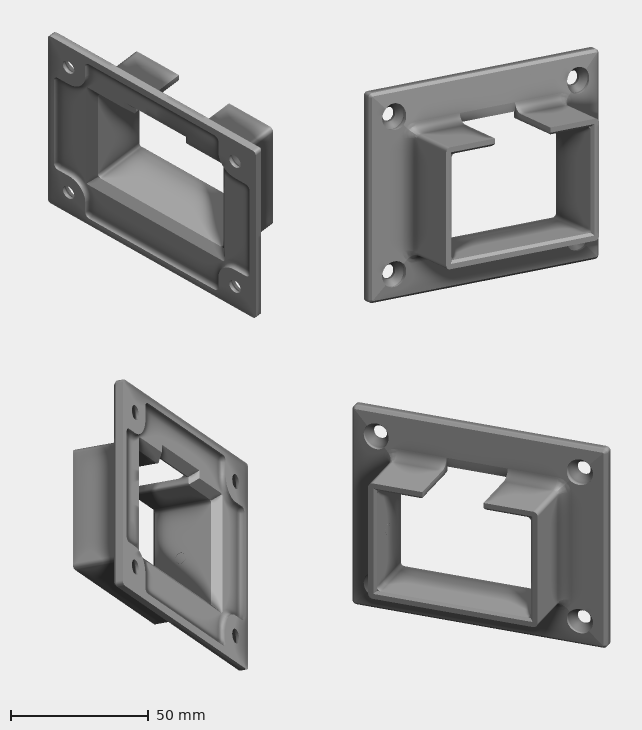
import cadquery as cq
import math

PLATE_WIDTH = 100.0
PLATE_HEIGHT = 80.0
PLATE_CORNER_R = 1.5
RIM_THICKNESS = 3.0
RIM_CHAMFER = 1.0
BACK_SLOPE_DEG = 7.5
HOLE_SPACING_X = 80.0
HOLE_SPACING_Z = 60.0
HOLE_D = 5.5
SINK_D = 10.0
SINK_START = 1.25

DEPTH = 29.0
OPENING_WIDTH = 60.5
OPENING_HEIGHT = 40.5
WALL = 3.0
OPENING_CORNER_R = 1.5
COLLAR_CORNER_R = 1.75
COLLAR_FILLET = 4.0
COLLAR_WIDTH = OPENING_WIDTH + 2 * WALL
COLLAR_HEIGHT = OPENING_HEIGHT + 2 * WALL
INNER_REAR_CHAMFER = 1.0

SLOT_WIDTH = 24.0
SLOT_EDGE_R = 1.0

RECESS_WIDTH = 94.0
RECESS_HEIGHT = 74.0
RECESS_DEPTH = 2.0
RECESS_FILLET = 2.0
PAD_R = 8.0
FLARE = 3.0

PIN_D = 4.0
PIN_LENGTH = 2.0
POCKET_D = 4.2

SLOPE_START = RIM_THICKNESS + RIM_CHAMFER
SLOPE = math.tan(math.radians(BACK_SLOPE_DEG))
SLOPE_RUN = (PLATE_HEIGHT - COLLAR_HEIGHT) / 2 - RIM_CHAMFER
SLOPE_END = SLOPE_START + SLOPE_RUN * SLOPE
FILLET_REACH = COLLAR_FILLET * math.tan(math.radians((90 - BACK_SLOPE_DEG) / 2))
FILLET_START = SLOPE_END - FILLET_REACH * math.sin(math.radians(BACK_SLOPE_DEG))
PIN_Y = (SLOPE_END + DEPTH) / 2

MARGIN = 0.1


def section(y):
    """Sketch plane parallel to the front face, Z up, extruding towards +Y."""
    return cq.Workplane(cq.Plane(origin=(0, y, 0), xDir=(-1, 0, 0), normal=(0, 1, 0)))


def block(width, height, y_start, y_end):
    return section(y_start).rect(width, height).extrude(y_end - y_start)


def funnel(width, height):
    """45 degree funnel, given by its size at the small end, from the recess floor inwards."""
    return (
        section(RECESS_DEPTH)
        .rect(width + 2 * FLARE, height + 2 * FLARE)
        .workplane(offset=FLARE)
        .rect(width, height)
        .loft()
    )


def make_plate():
    """Rim with a chamfered back edge, carrying a shallow pyramid that reaches into the collar."""
    rim = block(PLATE_WIDTH, PLATE_HEIGHT, 0, SLOPE_START)
    rim = rim.edges("|Y").fillet(PLATE_CORNER_R)
    rim = rim.faces(">Y").chamfer(RIM_CHAMFER)
    base_width = PLATE_WIDTH - 2 * RIM_CHAMFER
    base_height = PLATE_HEIGHT - 2 * RIM_CHAMFER
    pyramid_height = SLOPE_END - SLOPE_START + WALL * SLOPE
    pyramid = section(SLOPE_START).rect(base_width, base_height)
    pyramid = pyramid.extrude(pyramid_height, taper=90 - BACK_SLOPE_DEG)
    corner_trim = block(base_width, base_height, SLOPE_START, DEPTH)
    corner_trim = corner_trim.edges("|Y").fillet(PLATE_CORNER_R - RIM_CHAMFER)
    return rim.union(pyramid.intersect(corner_trim))


def make_outer():
    """Plate and collar, joined by a fillet around the foot of the collar."""
    collar = block(COLLAR_WIDTH, COLLAR_HEIGHT, RECESS_DEPTH, DEPTH)
    collar = collar.edges("|Y").fillet(COLLAR_CORNER_R)
    body = make_plate().union(collar)
    foot = cq.selectors.BoxSelector(
        (-COLLAR_WIDTH / 2 - MARGIN, SLOPE_END - MARGIN, -COLLAR_HEIGHT / 2 - MARGIN),
        (COLLAR_WIDTH / 2 + MARGIN, SLOPE_END + MARGIN, COLLAR_HEIGHT / 2 + MARGIN),
    )
    return body.edges(foot).fillet(COLLAR_FILLET)


def make_recess():
    """Cross-shaped cutter with rounded pads and a filleted floor, standing proud of the front face."""
    arm_width = HOLE_SPACING_X - 2 * PAD_R
    arm_height = HOLE_SPACING_Z - 2 * PAD_R
    across = block(RECESS_WIDTH, arm_height, -MARGIN, RECESS_DEPTH)
    upright = block(arm_width, RECESS_HEIGHT, -MARGIN, RECESS_DEPTH)
    cross = across.union(upright)
    pad_corners = cq.selectors.BoxSelector(
        (-arm_width / 2 - MARGIN, -DEPTH, -arm_height / 2 - MARGIN),
        (arm_width / 2 + MARGIN, DEPTH, arm_height / 2 + MARGIN),
    )
    cross = cross.edges("|Y").edges(pad_corners).fillet(PAD_R)
    cross = cross.edges("|Y").edges("<X or >X or <Z or >Z").fillet(RECESS_FILLET)
    return cross.faces(">Y").edges().fillet(RECESS_FILLET)


def upper_half(shape):
    """The part of a cutter above z = 0."""
    lower_half = block(PLATE_WIDTH, PLATE_HEIGHT, -MARGIN, DEPTH)
    return shape.cut(lower_half.translate((0, 0, -PLATE_HEIGHT / 2)))


def make_passage():
    """Opening with rounded corners, joined to the slot that cuts through the top wall."""
    opening = block(OPENING_WIDTH, OPENING_HEIGHT, 0, DEPTH).edges("|Y").fillet(OPENING_CORNER_R)
    slot = upper_half(block(SLOT_WIDTH, COLLAR_HEIGHT, 0, DEPTH))
    passage = opening.union(slot)
    slot_edges = cq.selectors.BoxSelector(
        (-SLOT_WIDTH / 2 - MARGIN, 0, OPENING_HEIGHT / 2 - MARGIN),
        (SLOT_WIDTH / 2 + MARGIN, DEPTH, OPENING_HEIGHT / 2 + MARGIN),
    )
    passage = passage.edges("|Y").edges(slot_edges).fillet(SLOT_EDGE_R)
    fillet_gap = upper_half(block(SLOT_WIDTH, PLATE_HEIGHT, FILLET_START, DEPTH))
    above_collar = block(SLOT_WIDTH, COLLAR_HEIGHT, FILLET_START, DEPTH)
    return passage.union(fillet_gap.cut(above_collar))


def make_funnels():
    """Front funnels of the opening and of the slot."""
    slot_funnel = upper_half(funnel(SLOT_WIDTH, COLLAR_HEIGHT))
    return funnel(OPENING_WIDTH, OPENING_HEIGHT).union(slot_funnel)


def make_rear_chamfer():
    """Chamfer cutter for the inner rear edge of the collar."""
    return (
        section(DEPTH - INNER_REAR_CHAMFER)
        .rect(OPENING_WIDTH, OPENING_HEIGHT)
        .workplane(offset=INNER_REAR_CHAMFER)
        .rect(OPENING_WIDTH + 2 * INNER_REAR_CHAMFER, OPENING_HEIGHT + 2 * INNER_REAR_CHAMFER)
        .loft()
    )


def make_holes():
    """Screw holes with a countersink that runs out of the sloped back as a cylinder."""
    hole_r = HOLE_D / 2
    sink_r = SINK_D / 2
    sink_end = SINK_START + sink_r - hole_r
    profile = cq.Workplane("XY").polyline(
        [(0, 0), (hole_r, 0), (hole_r, SINK_START), (sink_r, sink_end), (sink_r, DEPTH), (0, DEPTH)]
    )
    hole = profile.close().revolve(360, (0, 0), (0, 1)).val()
    holes = cq.Workplane()
    for x in (-HOLE_SPACING_X / 2, HOLE_SPACING_X / 2):
        for z in (-HOLE_SPACING_Z / 2, HOLE_SPACING_Z / 2):
            holes = holes.add(hole.moved(cq.Location(cq.Vector(x, 0, z))))
    return holes.combine()


def side_disc(diameter):
    """Disc inside the +X collar wall, flush with the face of the opening."""
    wall_face = cq.Workplane("YZ", origin=(OPENING_WIDTH / 2, 0, 0))
    return wall_face.center(PIN_Y, 0).circle(diameter / 2).extrude(PIN_LENGTH)


def make_pocket():
    """Pin pocket cutter, lengthened into the opening so that it leaves no skin."""
    pocket = side_disc(POCKET_D)
    inward = side_disc(POCKET_D).translate((-PIN_LENGTH, 0, 0))
    return pocket.union(inward)


def make_pin():
    """Short round pin on the pocket floor, with a small gap around it."""
    return side_disc(PIN_D)


pin = make_pin()
frame = make_outer().cut(make_recess()).cut(make_passage()).cut(make_funnels())
frame = frame.cut(make_rear_chamfer()).cut(make_holes()).cut(make_pocket())

result = cq.Compound.makeCompound([frame.val(), pin.val()])